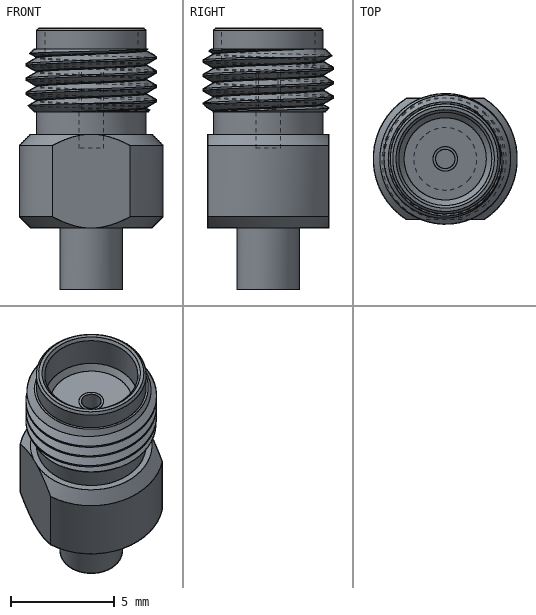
import cadquery as cq

total_height = 12.7
nut_bottom = 3.0
nut_top = 7.55
thread_bottom = 8.64
thread_top = 11.68

barrel_diameter = 5.33
ferrule_diameter = 3.05
rim_outer_chamfer = 0.11

nut_diameter = 7.0
nut_across_flats = 5.89
nut_chamfer = 0.55

thread_diameter = 6.35
thread_root_diameter = 5.38
thread_pitch = 0.7
thread_end_chamfer = 0.41
thread_seam_angle = 90
crest_width = 0.09
root_width = 0.05
groove_overshoot = 0.05
groove_start = 8.13
groove_turns = 5.5

bore_diameter = 4.52
bore_floor_diameter = 3.99
bore_depth = 2.02
bore_taper_height = (bore_diameter - bore_floor_diameter) / 2
bore_floor = total_height - bore_depth
rim_inner_chamfer = 0.13

contact_diameter = 1.2
contact_length = 3.81
socket_diameter = 0.94
socket_depth = 1.9
contact_bottom = bore_floor - contact_length


def cylinder(diameter, bottom, top):
    """Cylinder on the Z axis between two levels."""
    return cq.Workplane("XY").workplane(offset=bottom).circle(diameter / 2).extrude(top - bottom)


def make_barrel():
    barrel = cylinder(barrel_diameter, nut_top, total_height)
    return barrel.faces(">Z").chamfer(rim_outer_chamfer)


def make_nut():
    round_nut = cylinder(nut_diameter, nut_bottom, nut_top).edges("%CIRCLE").chamfer(nut_chamfer)
    flats = cq.Workplane("XY").workplane(offset=nut_bottom)
    flats = flats.rect(nut_diameter, nut_across_flats).extrude(nut_top - nut_bottom)
    return round_nut.intersect(flats)


def make_thread_groove():
    """Helical V groove whose sides reach just past the thread crest."""
    root_radius = thread_root_diameter / 2
    crest_radius = thread_diameter / 2
    mouth_radius = crest_radius + groove_overshoot
    half_root = root_width / 2
    half_opening = (thread_pitch - crest_width) / 2
    flank_slope = (half_opening - half_root) / (crest_radius - root_radius)
    half_mouth = half_opening + groove_overshoot * flank_slope
    helix = cq.Wire.makeHelix(thread_pitch, thread_pitch * groove_turns, root_radius)
    profile = cq.Workplane("XZ").polyline([
        (root_radius, -half_root),
        (mouth_radius, -half_mouth),
        (mouth_radius, half_mouth),
        (root_radius, half_root),
    ]).close()
    groove = profile.sweep(cq.Workplane(helix), isFrenet=True)
    return groove.translate((0, 0, groove_start))


def make_threaded_sleeve():
    sleeve = cylinder(thread_diameter, thread_bottom, thread_top)
    sleeve = sleeve.edges("%CIRCLE").chamfer(thread_end_chamfer)
    sleeve = sleeve.rotate((0, 0, 0), (0, 0, 1), thread_seam_angle)
    return sleeve.cut(make_thread_groove())


def make_bore():
    """Mating bore with a chamfered mouth and a conical step down to its floor."""
    bore_radius = bore_diameter / 2
    return (
        cq.Workplane("XZ")
        .moveTo(0, bore_floor)
        .lineTo(bore_floor_diameter / 2, bore_floor)
        .lineTo(bore_radius, bore_floor + bore_taper_height)
        .lineTo(bore_radius, total_height - rim_inner_chamfer)
        .lineTo(bore_radius + rim_inner_chamfer, total_height)
        .lineTo(0, total_height)
        .close()
        .revolve(360, (0, 0, 0), (0, 1, 0))
    )


def make_housing():
    ferrule = cylinder(ferrule_diameter, 0, nut_bottom)
    housing = make_barrel().union(make_threaded_sleeve()).union(make_nut()).union(ferrule)
    contact_seat = cylinder(contact_diameter, contact_bottom, bore_floor)
    return housing.cut(make_bore()).cut(contact_seat)


def make_contact():
    contact = cylinder(contact_diameter, contact_bottom, bore_floor)
    return contact.cut(cylinder(socket_diameter, bore_floor - socket_depth, bore_floor))


housing = make_housing()
contact = make_contact()

result = cq.Compound.makeCompound([housing.val(), contact.val()])